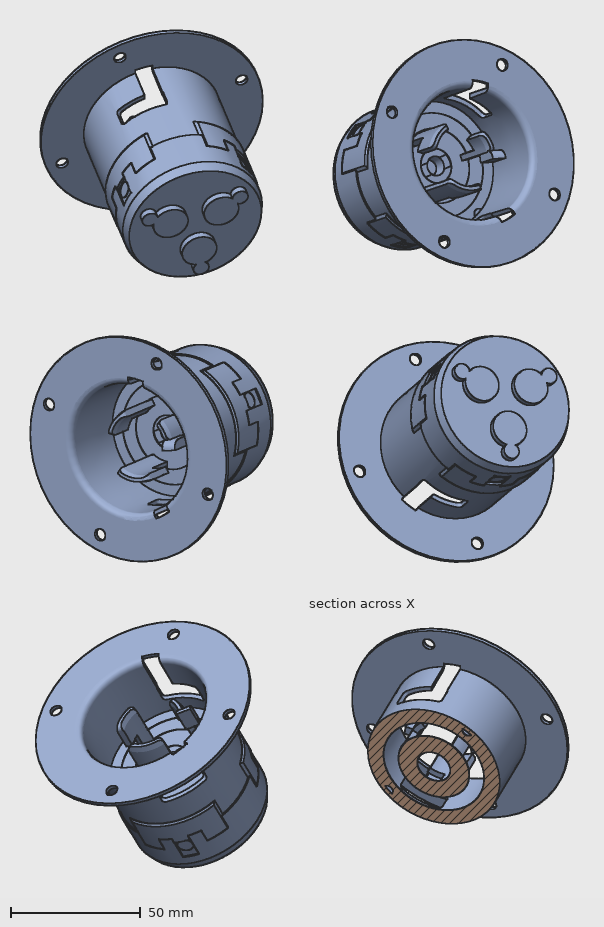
import cadquery as cq
import math


flange_radius = 44.4
flange_thickness = 1.6
tube_radius = 54.6 / 2
bore_radius = 25.65
bore_floor_radius = 25.1
mouth_round = 2.6
floor_x = 29.3
cap_x = 43.0
cap_radius = 27.9
cap_bevel_x = 59.3
cap_end_x = 63.3
cap_end_radius = 26.45

hole_diameter = 4.7
hole_circle_radius = 38.1
hole_angle = 19.6

slot_turns = (0.0, 140.5)
channel_width = 6.8
channel_offset = -3.2
channel_outer_radius = 28.75
channel_end_x = 17.75
wide_slot_x = 14.7
wide_slot_end_x = 23.1
wide_slot_start = 89.0
wide_slot_span = 42.0
slot_corner_radius = 1.4

station_angles = [34.4 + 120 * i for i in range(3)]
clamp_x = 34.6
clamp_end_x = 50.0
clamp_radius = 28.1
clamp_root_radius = 27.1
clamp_front_bevel = 0.9
clamp_bevel_drop = 0.6
clamp_half_angle = 37.5
clamp_root_half_angle = 41.0
long_tab_end_x = 53.6
notch_x = 43.7
notch_half_width = 8.9
window_half_width = 3.3
window_x = 45.9
window_end_x = 55.4
window_floor_radius = 27.2
screw_spot_diameter = 6.2
screw_spot_depth = 0.2
screw_spot_places = (50.7, 49.4, 49.4)

blade_inner_radius = 11.7
blade_outer_radius = 14.4
blade_tip_bevel = 0.6
blade_tip_length = 2.6
blade_corner_radius = 2.2
blade_hook_x = 18.6
blade_tip_xs = (7.1, 7.1, 4.0)
blade_starts = (9.5, 130.0, 242.0)
blade_ends = (59.0, 165.0, 305.0)
stem_starts = (34.4, 154.0, 272.0)
foot_x = 5.8
foot_end_x = 15.4
foot_angle = 171.5
foot_width = 3.7
foot_round = 3.55
foot_outer_radius = 17.4

relief_depth = 0.3
ring_inner_radius = 14.6
ring_outer_radius = 20.7
hub_radius = 6.75
hub_slot_width = 4.8
hub_slot_angle = 154.0
hub_hole_radius = 3.8
hub_hole_end_radius = 3.0
hub_hole_depth = 5.3
edge_recess_radius = 2.0
edge_recess_place = 25.5
edge_recess_angles = (57.0, 222.0)

boss_end_x = 66.0
terminal_radius = 6.9
terminal_place = 11.7
terminal_screw_radius = 3.1
terminal_screw_place = 20.9

CUT_MARGIN = 1.8


def turned(shape, angle):
    """Turn a shape about the X axis."""
    return shape.rotate((0, 0, 0), (1, 0, 0), angle)


def revolved(profile, start=0.0, span=360.0):
    """Sweep a list of (x, radius) points about the X axis from a start angle."""
    swept = cq.Workplane("XY").polyline(profile).close().revolve(span, (0, 0, 0), (1, 0, 0))
    return turned(swept, start)


def sector(x0, x1, r0, r1, start, span):
    """Piece of a ring between two stations, two radii and two angles."""
    return revolved([(x0, r0), (x1, r0), (x1, r1), (x0, r1)], start, span)


def polar(radius, angle):
    """(y, z) of a point given by radius and angle."""
    return (radius * math.cos(math.radians(angle)), radius * math.sin(math.radians(angle)))


def axial_cylinder(x0, x1, radius, place, angle):
    """Cylinder along X, centred at a radius and an angle."""
    return cq.Workplane("YZ", origin=(x0, 0, 0)).center(*polar(place, angle)).circle(radius).extrude(x1 - x0)


def box(x0, x1, y0, y1, z0, z1):
    return cq.Workplane("XY").box(x1 - x0, y1 - y0, z1 - z0, centered=False).translate((x0, y0, z0))


def make_body():
    """Flange with a rounded mouth, tube with a slightly tapered bore, solid base and cap."""
    mouth_mid = mouth_round * (1 - math.sqrt(0.5))
    return (
        cq.Workplane("XY")
        .moveTo(0, flange_radius)
        .lineTo(0, bore_radius + mouth_round)
        .threePointArc((mouth_mid, bore_radius + mouth_mid), (mouth_round, bore_radius))
        .lineTo(floor_x, bore_floor_radius)
        .lineTo(floor_x, 0)
        .lineTo(cap_end_x, 0)
        .lineTo(cap_end_x, cap_end_radius)
        .lineTo(cap_bevel_x, cap_radius)
        .lineTo(cap_x, cap_radius)
        .lineTo(cap_x, tube_radius)
        .lineTo(flange_thickness, tube_radius)
        .lineTo(flange_thickness, flange_radius)
        .close()
        .revolve(360, (0, 0, 0), (1, 0, 0))
    )


def make_mounting_holes():
    return (
        cq.Workplane("YZ")
        .polarArray(hole_circle_radius, hole_angle, 360, 4)
        .circle(hole_diameter / 2)
        .extrude(flange_thickness)
    )


def make_slot_cutter():
    """L-shaped slot: a channel open at the flange and a wide rounded end."""
    inside = bore_radius - 2 * CUT_MARGIN
    channel = box(
        0, channel_end_x,
        channel_offset - channel_width / 2, channel_offset + channel_width / 2,
        inside, flange_radius,
    ).intersect(cq.Workplane("YZ").circle(channel_outer_radius).extrude(channel_end_x))
    wide_end = sector(
        wide_slot_x, wide_slot_end_x, inside, tube_radius + CUT_MARGIN, wide_slot_start, wide_slot_span
    )
    wide_end = wide_end.edges("#X").edges("%LINE").fillet(slot_corner_radius)
    return channel.union(wide_end)


def make_clamp(has_long_tab):
    """Clamp centred on +Y, with bevelled front and sides and a notch for the cap."""
    end_x = long_tab_end_x if has_long_tab else clamp_end_x
    section = (
        cq.Workplane("YZ", origin=(clamp_x, 0, 0))
        .moveTo(*polar(clamp_root_radius, -clamp_root_half_angle))
        .threePointArc((clamp_root_radius, 0), polar(clamp_root_radius, clamp_root_half_angle))
        .lineTo(*polar(clamp_radius, clamp_half_angle))
        .threePointArc((clamp_radius, 0), polar(clamp_radius, -clamp_half_angle))
        .close()
        .extrude(end_x - clamp_x)
    )
    envelope = revolved([
        (clamp_x, 0),
        (clamp_x, clamp_radius - clamp_bevel_drop),
        (clamp_x + clamp_front_bevel, clamp_radius),
        (end_x, clamp_radius),
        (end_x, 0),
    ])
    clamp = section.intersect(envelope)
    far = clamp_radius + CUT_MARGIN
    notch_sides = ((-notch_half_width, -window_half_width), (window_half_width, notch_half_width))
    for z0, z1 in notch_sides:
        clamp = clamp.cut(box(notch_x, end_x, 0, far, z0, z1))
    if has_long_tab:
        clamp = clamp.cut(box(clamp_end_x, end_x, 0, far, 0, far))
    return clamp


def make_window_cutter(screw_spot_x):
    """Flat-floored window centred on +Y, with a round screw spot."""
    far = clamp_radius + CUT_MARGIN
    window = box(window_x, window_end_x, window_floor_radius, far, -window_half_width, window_half_width)
    spot_floor = window_floor_radius - screw_spot_depth
    spot = (
        cq.Workplane("XZ", origin=(screw_spot_x, spot_floor, 0))
        .circle(screw_spot_diameter / 2)
        .extrude(-(far - spot_floor))
    )
    return window.union(spot)


def make_blade(tip_x, start, end, stem_start):
    """Curved locking blade: a bevelled, round-cornered head on a narrower stem."""
    head = revolved([
        (tip_x, blade_inner_radius + blade_tip_bevel),
        (tip_x + blade_tip_length, blade_inner_radius),
        (blade_hook_x, blade_inner_radius),
        (blade_hook_x, blade_outer_radius),
        (tip_x + blade_tip_length, blade_outer_radius),
        (tip_x, blade_outer_radius - blade_tip_bevel),
    ], start, end - start)
    head = head.faces("<X").edges("%LINE").fillet(blade_corner_radius)
    stem = sector(
        blade_hook_x, floor_x + CUT_MARGIN, blade_inner_radius, blade_outer_radius, stem_start, end - stem_start
    )
    return head.union(stem)


def make_blade_foot():
    """Radial foot on the head of the second blade, with one front edge rounded."""
    half_width = foot_width / 2
    foot = box(foot_x, foot_end_x, blade_inner_radius, foot_outer_radius, -half_width, half_width)
    foot = foot.edges("<X and <Z").fillet(foot_round)
    return turned(foot, foot_angle)


def make_floor_relief():
    """Shallow ring, sunken hub with a slot, tapered hub hole and two recesses at the edge of the bore."""
    bottom_x = floor_x + relief_depth
    slot_bottom_x = bottom_x + relief_depth
    ring = sector(floor_x, bottom_x, ring_inner_radius, ring_outer_radius, 0, 360)
    half_slot = hub_slot_width / 2
    hub_slot = box(floor_x, slot_bottom_x, -hub_radius, hub_radius, -half_slot, half_slot)
    hub_slot = turned(hub_slot, hub_slot_angle)
    hub_slot = hub_slot.intersect(axial_cylinder(floor_x, slot_bottom_x, hub_radius, 0, 0))
    hub = axial_cylinder(floor_x, bottom_x, hub_radius, 0, 0)
    hub_hole = revolved([
        (floor_x, 0),
        (floor_x, hub_hole_radius),
        (floor_x + hub_hole_depth, hub_hole_end_radius),
        (floor_x + hub_hole_depth, 0),
    ])
    relief = ring.union(hub).union(hub_slot).union(hub_hole)
    bore = axial_cylinder(floor_x, bottom_x, bore_floor_radius, 0, 0)
    for angle in edge_recess_angles:
        recess = axial_cylinder(floor_x, bottom_x, edge_recess_radius, edge_recess_place, angle)
        relief = relief.union(recess.intersect(bore))
    return relief


result = make_body().cut(make_mounting_holes())

for turn in slot_turns:
    result = result.cut(turned(make_slot_cutter(), turn))

for index, (angle, spot_x) in enumerate(zip(station_angles, screw_spot_places)):
    result = result.union(turned(make_clamp(index == 0), angle))
    result = result.cut(turned(make_window_cutter(spot_x), angle))
    result = result.union(axial_cylinder(cap_end_x, boss_end_x, terminal_radius, terminal_place, angle))
    result = result.union(
        axial_cylinder(cap_end_x, boss_end_x, terminal_screw_radius, terminal_screw_place, angle)
    )

result = result.cut(make_floor_relief())
for blade in zip(blade_tip_xs, blade_starts, blade_ends, stem_starts):
    result = result.union(make_blade(*blade))

result = result.union(make_blade_foot())